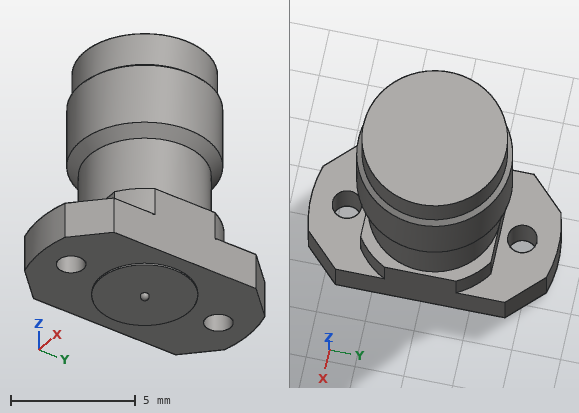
import cadquery as cq
import math

total_height = 10.98
contact_face_z = 0.24
flange_bottom_z = 0.32
flange_top_z = 1.99
collar_top_z = 3.24
sleeve_bottom_z = 6.05
sleeve_wall_bottom_z = 6.51
sleeve_wall_top_z = 9.29
sleeve_top_z = 9.48

body_radius = 2.67
sleeve_radius = 3.13
cap_radius = 2.92
contact_radius = 2.13
pin_radius = 0.18

flange_width = 5.65
flange_length = 10.16
flange_corner_y = 3.47
hole_radius = 0.59
hole_offset = 3.59

collar_radius = 3.18
collar_depth = 2 * body_radius


def make_flange():
    half_width = flange_width / 2
    end_radius = flange_length / 2
    corner_sum = half_width + flange_corner_y
    half_difference = math.sqrt(2 * end_radius**2 - corner_sum**2) / 2
    arc_x = corner_sum / 2 - half_difference
    arc_y = corner_sum / 2 + half_difference
    outline = (
        cq.Workplane("XY", origin=(0, 0, flange_bottom_z))
        .moveTo(half_width, -flange_corner_y)
        .lineTo(half_width, flange_corner_y)
        .lineTo(arc_x, arc_y)
        .threePointArc((0, end_radius), (-arc_x, arc_y))
        .lineTo(-half_width, flange_corner_y)
        .lineTo(-half_width, -flange_corner_y)
        .lineTo(-arc_x, -arc_y)
        .threePointArc((0, -end_radius), (arc_x, -arc_y))
        .close()
    )
    thickness = flange_top_z - flange_bottom_z
    plate = outline.extrude(thickness)
    holes = (
        cq.Workplane("XY", origin=(0, 0, flange_bottom_z))
        .pushPoints([(0, -hole_offset), (0, hole_offset)])
        .circle(hole_radius)
        .extrude(thickness)
    )
    return plate.cut(holes)


def make_collar():
    height = collar_top_z - flange_top_z
    base = cq.Workplane("XY", origin=(0, 0, flange_top_z))
    disc = base.circle(collar_radius).extrude(height)
    trim = base.rect(flange_width, collar_depth).extrude(height)
    return disc.intersect(trim)


def make_barrel():
    """Body, bevelled sleeve and cap, revolved about Z."""
    profile = [
        (0, collar_top_z),
        (body_radius, collar_top_z),
        (body_radius, sleeve_bottom_z),
        (sleeve_radius, sleeve_wall_bottom_z),
        (sleeve_radius, sleeve_wall_top_z),
        (cap_radius, sleeve_top_z),
        (cap_radius, total_height),
        (0, total_height),
    ]
    return cq.Workplane("XZ").polyline(profile).close().revolve(360, (0, 0), (0, 1))


def make_contact():
    """Thin raised disc under the flange with a round-ended pin at its centre."""
    dome_mid = pin_radius * math.sqrt(0.5)
    return (
        cq.Workplane("XZ")
        .moveTo(0, 0)
        .threePointArc((dome_mid, pin_radius - dome_mid), (pin_radius, pin_radius))
        .lineTo(pin_radius, contact_face_z)
        .lineTo(contact_radius, contact_face_z)
        .lineTo(contact_radius, flange_bottom_z)
        .lineTo(0, flange_bottom_z)
        .close()
        .revolve(360, (0, 0), (0, 1))
    )


result = make_flange().union(make_collar()).union(make_barrel()).union(make_contact())